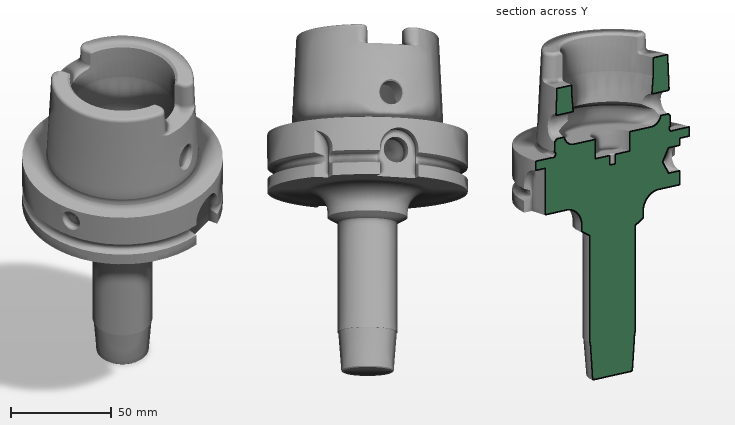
import cadquery as cq
import math


taper_height = 50.0
taper_base_radius = 38.0
taper_top_radius = 35.5
rim_round = 1.7
undercut_top = 2.4
undercut_cone_end = 1.9
undercut_radius = 37.2
undercut_round = 1.4
undercut_face_depth = 0.2
undercut_foot_radius = 39.5

bore_radius = 26.3
bore_chamfer = 1.2
bore_straight_end = 30.4
lip_radius = 24.8
lip_height = 15.0
recess_radius = 31.5
recess_shoulder_height = 11.2
recess_fillet = 6.1
bore_floor = 4.5
thread_radius = 11.2
thread_depth = 10.0
coolant_radius = 1.5
coolant_depth = 5.0
coolant_chamfer = 0.5

flange_diameter = 100.0
flange_radius = flange_diameter / 2
flange_height = 29.0
groove_center = 19.9
groove_floor_radius = 46.0
groove_floor_width = 3.4
groove_mouth_width = 6.3
groove_fillet = 1.0

total_height = 169.9
collar_radius = 20.0
collar_fillet = 9.9
collar_edge_depth = 12.9
nose_radius = 15.0
nose_start_depth = 15.8
nose_cone_height = 19.9
nose_cone_step = 0.3
nose_tip_radius = 13.0
tip_chamfer = 0.5

drive_half_width = 9.9
drive_corner_radius = 4.5
drive_floor_fillet = 1.9
left_drive_depth = 10.0
right_drive_depth = 14.8

access_radius = 6.0
access_height = 15.1
access_sink_radius = 7.0

keyway_width = 20.2
keyway_half_width = keyway_width / 2
keyway_center_depth = 15.1
keyway_floor = 44.0
pit_radius = 6.5
pit_straight_depth = 7.5
pit_tip_depth = 3.7
notch_floor = 31.8
notch_wall = 31.6

chip_radius = 5.0
chip_depth = 4.5
chip_chamfer = 0.5
chip_center_depth = 7.1
chip_dimple_radius = 0.5

taper_slope = (taper_base_radius - taper_top_radius) / taper_height
bottom = taper_height - total_height


def taper_radius(z):
    return taper_base_radius - taper_slope * z


def make_body():
    """Revolve the solid outer shape about Z, without its bore."""
    nose_cone_top = bottom + nose_cone_height
    groove_floor_half = groove_floor_width / 2
    groove_mouth_half = groove_mouth_width / 2
    collar_mid = collar_fillet * (1 - math.sqrt(0.5))
    undercut_mid = undercut_round * (1 - math.sqrt(0.5))
    profile = (
        cq.Workplane("XZ")
        .moveTo(0, taper_height)
        .lineTo(taper_top_radius, taper_height)
        .lineTo(taper_radius(undercut_top), undercut_top)
        .lineTo(undercut_radius, undercut_cone_end)
        .lineTo(undercut_radius, undercut_round - undercut_face_depth)
        .threePointArc(
            (undercut_radius + undercut_mid, undercut_mid - undercut_face_depth),
            (undercut_radius + undercut_round, -undercut_face_depth),
        )
        .lineTo(undercut_foot_radius, 0)
        .lineTo(flange_radius, 0)
        .lineTo(flange_radius, -groove_center + groove_mouth_half)
        .lineTo(groove_floor_radius, -groove_center + groove_floor_half)
        .lineTo(groove_floor_radius, -groove_center - groove_floor_half)
        .lineTo(flange_radius, -groove_center - groove_mouth_half)
        .lineTo(flange_radius, -flange_height)
        .lineTo(collar_radius + collar_fillet, -flange_height)
        .threePointArc(
            (collar_radius + collar_mid, -flange_height - collar_mid),
            (collar_radius, -flange_height - collar_fillet),
        )
        .lineTo(collar_radius, -flange_height - collar_edge_depth)
        .lineTo(nose_radius, -flange_height - nose_start_depth)
        .lineTo(nose_radius, nose_cone_top)
        .lineTo(nose_radius - nose_cone_step, nose_cone_top)
        .lineTo(nose_tip_radius, bottom + tip_chamfer)
        .lineTo(nose_tip_radius - tip_chamfer, bottom)
        .lineTo(0, bottom)
        .close()
    )
    body = profile.revolve(360, (0, 0, 0), (0, 1, 0))
    groove_corners = [
        edge
        for edge in body.edges("%CIRCLE").vals()
        if math.isclose(edge.radius(), groove_floor_radius)
    ]
    return body.newObject(groove_corners).fillet(groove_fillet)


def make_bore():
    """Revolve the stepped cavity that opens at the rim, with its clamping recess below the lip."""
    thread_floor = bore_floor - thread_depth
    fillet_mid = recess_fillet * (1 - math.sqrt(0.5))
    profile = (
        cq.Workplane("XZ")
        .moveTo(0, taper_height)
        .lineTo(bore_radius + bore_chamfer, taper_height)
        .lineTo(bore_radius, taper_height - bore_chamfer)
        .lineTo(bore_radius, bore_straight_end)
        .lineTo(lip_radius, lip_height)
        .lineTo(recess_radius, recess_shoulder_height)
        .lineTo(recess_radius, bore_floor + recess_fillet)
        .threePointArc(
            (recess_radius - fillet_mid, bore_floor + fillet_mid),
            (recess_radius - recess_fillet, bore_floor),
        )
        .lineTo(thread_radius, bore_floor)
        .lineTo(thread_radius, thread_floor)
        .lineTo(coolant_radius + coolant_chamfer, thread_floor)
        .lineTo(coolant_radius, thread_floor - coolant_chamfer)
        .lineTo(coolant_radius, thread_floor - coolant_depth)
        .lineTo(0, thread_floor - coolant_depth)
        .close()
    )
    return profile.revolve(360, (0, 0, 0), (0, 1, 0))


def cut_drive_slot(body, side, depth):
    """Cut one drive slot across the rim, then round its arm ends and floor edges."""
    floor_z = taper_height - depth
    body = body.cut(
        cq.Workplane("XY")
        .workplane(offset=floor_z)
        .center(side * flange_radius / 2, 0)
        .rect(flange_radius, 2 * drive_half_width)
        .extrude(depth)
    )
    wall_x = math.sqrt(taper_radius(floor_z) ** 2 - drive_half_width**2)
    for wall_y in (drive_half_width, -drive_half_width):
        corner = (side * wall_x, wall_y, floor_z + depth / 2)
        body = body.edges(cq.selectors.NearestToPointSelector(corner)).fillet(drive_corner_radius)
    for wall_y in (drive_half_width, -drive_half_width):
        foot = (side * bore_radius, wall_y, floor_z)
        body = body.edges(cq.selectors.NearestToPointSelector(foot)).fillet(drive_floor_fillet)
    return body


def round_rim(body):
    """Round the outer rim and the arm ends, but not the chamfered bore edge."""
    bore_edge = bore_radius + bore_chamfer
    rim_edges = [
        edge
        for edge in body.faces(">Z").edges().vals()
        if not (edge.geomType() == "CIRCLE" and math.isclose(edge.radius(), bore_edge))
    ]
    return body.newObject(rim_edges).fillet(rim_round)


def make_access_holes():
    """Cutter along X through both taper walls, countersunk outside."""
    surface_x = taper_radius(access_height)
    apex_x = surface_x - access_sink_radius
    cutter = cq.Workplane("YZ").center(0, access_height).circle(access_radius).extrude(
        flange_radius, both=True)
    for side in (1, -1):
        sink = cq.Solid.makeCone(
            0, 2 * access_sink_radius, 2 * access_sink_radius,
            cq.Vector(side * apex_x, 0, access_height), cq.Vector(side, 0, 0))
        cutter = cutter.union(sink)
    return cutter


def make_arched_slot(floor_x, center_y, side):
    """Cutter for a flange slot open below, arched on top, with a floor facing along X."""
    height = flange_height - keyway_center_depth
    slot_length = flange_radius
    start_x = floor_x if side > 0 else -floor_x - slot_length
    plane = cq.Workplane("YZ").workplane(offset=start_x)
    arch = plane.center(center_y, -keyway_center_depth).circle(keyway_half_width).extrude(slot_length)
    leg = (
        plane.center(center_y, -keyway_center_depth - height / 2)
        .rect(keyway_width, height)
        .extrude(slot_length)
    )
    return arch.union(leg)


def make_pit():
    """Drilled hole with a conical bottom in the floor of the -X keyway."""
    into_part = cq.Vector(1, 0, 0)
    mouth = cq.Vector(-keyway_floor, 0, -keyway_center_depth)
    barrel = cq.Workplane(cq.Solid.makeCylinder(pit_radius, pit_straight_depth, mouth, into_part))
    tip = cq.Solid.makeCone(
        pit_radius, 0, pit_tip_depth, mouth + into_part * pit_straight_depth, into_part)
    return barrel.union(tip)


def make_chip_pocket():
    """Flat round pocket in the -Y side of the flange, with a small centre dimple."""
    profile = (
        cq.Workplane("XY")
        .workplane(offset=-chip_center_depth)
        .moveTo(0, -flange_radius)
        .lineTo(chip_radius + chip_chamfer, -flange_radius)
        .lineTo(chip_radius, -flange_radius + chip_chamfer)
        .lineTo(chip_radius, -flange_radius + chip_depth)
        .lineTo(chip_dimple_radius, -flange_radius + chip_depth)
        .lineTo(0, -flange_radius + chip_depth + chip_dimple_radius)
        .close()
    )
    return profile.revolve(360, (0, 0, 0), (0, 1, 0))


body = make_body().cut(make_bore())
body = cut_drive_slot(body, 1, right_drive_depth)
body = cut_drive_slot(body, -1, left_drive_depth)
body = round_rim(body)
body = body.cut(make_access_holes())
for side in (1, -1):
    body = body.cut(make_arched_slot(keyway_floor, 0, side))
body = body.cut(make_pit())
body = body.cut(make_arched_slot(notch_floor, notch_wall + keyway_half_width, -1))
result = body.cut(make_chip_pocket())